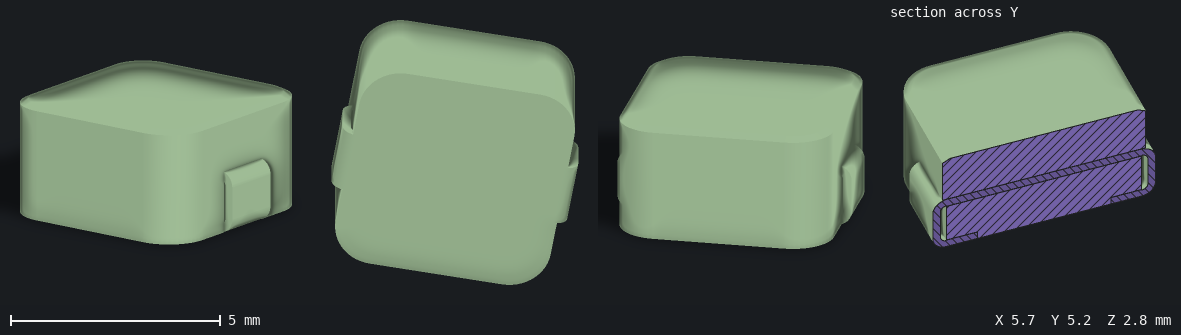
import cadquery as cq

overall_length = 5.7
body_side = 5.2
body_height = 2.8

corner_radius = 1.0
top_chamfer_inset = 0.2
top_chamfer_drop = 0.095

strip_width = 1.505
strip_thickness = 0.205
frame_height = 1.505
outer_bend_radius = 0.355
inner_bend_radius = outer_bend_radius - strip_thickness
foot_length = 1.14
foot_gap = overall_length - 2 * foot_length

terminal_overhang = (overall_length - body_side) / 2
recess_depth = outer_bend_radius - terminal_overhang
recess_center = (body_side - recess_depth) / 2


def strip_wide_bar(length, height):
    """Bar along X, as wide as the strip, centred in X and Y and resting on Z = 0."""
    return cq.Workplane("XY").box(length, strip_width, height, centered=(True, True, False))


def rounded_bar(length, height, bend_radius):
    """Strip-wide bar whose ends are rounded in the XZ plane."""
    return strip_wide_bar(length, height).edges("|Y").fillet(bend_radius)


def make_lead_frame():
    """One bent strip: a bar through the body, a terminal down each side and a foot turned in below."""
    loop = rounded_bar(overall_length, frame_height, outer_bend_radius)
    inside = rounded_bar(
        overall_length - 2 * strip_thickness,
        frame_height - 2 * strip_thickness,
        inner_bend_radius,
    ).translate((0, 0, strip_thickness))
    opening_between_feet = strip_wide_bar(foot_gap, strip_thickness)
    return loop.cut(inside).cut(opening_between_feet)


def make_body(lead_frame):
    """Rounded square block with a shallow top chamfer, moulded around the lead frame."""
    block = (
        cq.Workplane("XY")
        .box(body_side, body_side, body_height, centered=(True, True, False))
        .edges("|Z")
        .fillet(corner_radius)
    )
    block = block.faces(">Z").chamfer(top_chamfer_drop, top_chamfer_inset)

    for recess_x in (-recess_center, recess_center):
        recess = strip_wide_bar(recess_depth, frame_height).translate((recess_x, 0, 0))
        block = block.cut(recess)

    return block.cut(lead_frame)


lead_frame = make_lead_frame()
body = make_body(lead_frame)

result = cq.Compound.makeCompound([body.solids().val(), lead_frame.solids().val()])